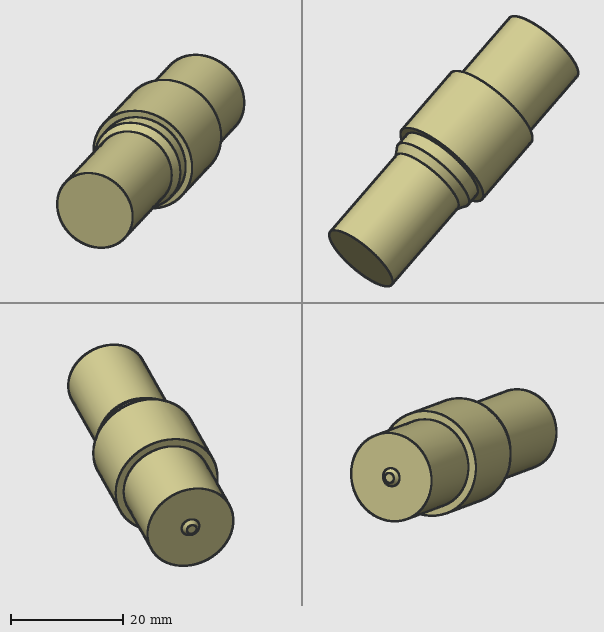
import cadquery as cq

overall_length = 53.0

spigot_length = 18.9
taper_length = 1.7
shoulder_length = 2.55
collar_length = 14.1
tip_length = 0.8
front_length = spigot_length + taper_length + shoulder_length + collar_length
rear_length = overall_length - front_length - tip_length

spigot_diameter = 14.5
shoulder_diameter = 16.5
collar_diameter = 19.0
rear_diameter = 16.0
tip_base_diameter = 3.3
tip_end_diameter = 1.8

sections = [
    (spigot_length, spigot_diameter, spigot_diameter),
    (taper_length, spigot_diameter, shoulder_diameter),
    (shoulder_length, shoulder_diameter, shoulder_diameter),
    (collar_length, collar_diameter, collar_diameter),
    (rear_length, rear_diameter, rear_diameter),
    (tip_length, tip_base_diameter, tip_end_diameter),
]


def half_profile(sections):
    """Return the (radius, y) outline from the axis at the front to the axis at the rear."""
    y = -overall_length / 2
    points = [(0, y)]
    for length, front_diameter, rear_end_diameter in sections:
        front_point = (front_diameter / 2, y)
        if front_point != points[-1]:
            points.append(front_point)
        y += length
        points.append((rear_end_diameter / 2, y))
    points.append((0, y))
    return points


result = (
    cq.Workplane("XY")
    .polyline(half_profile(sections))
    .close()
    .revolve(360, (0, 0, 0), (0, 1, 0))
)